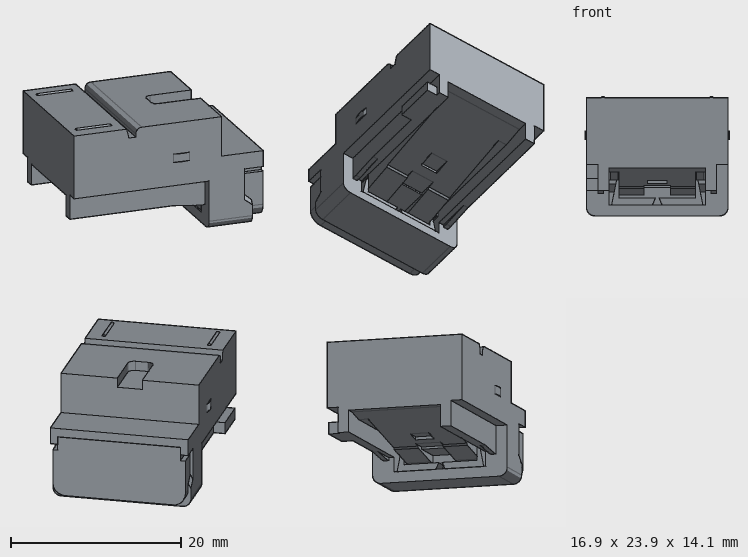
import cadquery as cq
import math


body_width = 16.65
half_width = body_width / 2
top_z = 13.89
shelf_z = 8.96
skirt_z = 6.05
shelf_bottom_z = 6.98
foot_front_y = 17.0
foot_back_y = 22.45
step_y = 18.55
shelf_back_y = 23.8
foot_radius = 1.03

groove_z = 12.75
groove_top_front_y = 6.6
groove_floor_front_y = 6.9
groove_back_y = 7.77
groove_lip_radius = 0.75

slot_half_width = 1.5
slot_front_y = 12.6
slot_corner_radius = 0.76

leg_outer_x = 6.95
leg_inner_x = 5.66
leg_bottom_z = 3.0
toe_bottom_z = 2.65
toe_inner_x = 6.3
toe_flat_y = 16.37
toe_slope_end_y = 13.0

key_front_y = 0.53
key_back_y = 5.55
key_top_z = 4.4

ridge_x = 6.38
ridge_width = 0.4
ridge_height = 0.17
ridge_front_y = 0.95
ridge_back_y = 5.43
ridge_end_run = 0.12

bump_front_y = 12.48
bump_back_y = 14.5
bump_bottom_z = 8.96
bump_top_z = 10.0
bump_height = 0.15

plug_half_width = 8.0
plug_bottom_z = 0.67
plug_top_z = 6.29
plug_radius = 1.48
plug_back_y = 23.9
recess_front_y = 21.46
recess_outer_z = (3.13, 2.37)
recess_inner_z = (3.75, 2.92)
slit_inner_x = 7.4
back_plate_top_z = 7.93

channel_top_z = 5.62
channel_bottom_z = 1.3
slope_start_y = 1.2
ceiling_tilt = 80.0
center_half_width = 4.52
center_floor_z = 2.1
ledge_top_z = 3.47
ledge_bottom_z = 3.25
ledge_tilt = 45.0
ceiling_end_z = 2.44
center_back_y = 19.12

catch_half_width = 1.53
catch_top_z = 3.6
catch_step_z = 3.35
catch_step_y = 14.82
window_half_width = 1.12
window_top_z = 4.18
window_bottom_z = 3.82

clip_front_y = 17.2
clip_top_z = 4.2
clip_top_x = 4.78
clip_bottom_x = 5.35
clip_gap_top_half = 0.22
clip_gap_bottom_half = 0.57
side_top_z = 5.16
side_pocket_inner_x = 4.61
side_pocket_outer_x = 5.47
side_pocket_tilt = 60.3
side_step_z = 3.78
side_flat_top_z = 2.85


def box(x0, x1, y0, y1, z0, z1):
    return cq.Workplane("XY").box(x1 - x0, y1 - y0, z1 - z0, centered=False).translate((x0, y0, z0))


def side_prism(points, x0, x1):
    """Extrude a (y, z) outline from x0 to x1."""
    return cq.Workplane("YZ", origin=(x0, 0, 0)).polyline(points).close().extrude(x1 - x0)


def front_prism(points, y0, y1):
    """Extrude an (x, z) outline from y0 to y1."""
    return cq.Workplane("XZ", origin=(0, y0, 0)).polyline(points).close().extrude(y0 - y1)


def both_sides(shape):
    return shape.union(shape.mirror("YZ"))


def slope_run(tilt, z_high, z_low):
    """Depth gained by a wall tilted from vertical between two heights."""
    return (z_high - z_low) * math.tan(math.radians(tilt))


def make_body():
    lip_mid = groove_lip_radius * math.sqrt(0.5)
    profile = (
        cq.Workplane("YZ", origin=(-half_width, 0, 0))
        .moveTo(0, skirt_z)
        .lineTo(0, top_z)
        .lineTo(groove_top_front_y, top_z)
        .lineTo(groove_floor_front_y, groove_z)
        .lineTo(groove_back_y, groove_z)
        .lineTo(groove_back_y, top_z - groove_lip_radius)
        .threePointArc(
            (groove_back_y + groove_lip_radius - lip_mid, top_z - groove_lip_radius + lip_mid),
            (groove_back_y + groove_lip_radius, top_z),
        )
        .lineTo(step_y, top_z)
        .lineTo(step_y, shelf_z)
        .lineTo(shelf_back_y, shelf_z)
        .lineTo(shelf_back_y, shelf_bottom_z)
        .lineTo(foot_back_y, shelf_bottom_z)
        .lineTo(foot_back_y, 0)
        .lineTo(foot_front_y, 0)
        .lineTo(foot_front_y, skirt_z)
        .close()
    )
    body = profile.extrude(2 * half_width)
    return body.edges("|Y").edges("<Z").fillet(foot_radius)


def make_thumb_slot():
    slot = box(-slot_half_width, slot_half_width, slot_front_y, step_y, groove_z, top_z)
    return slot.edges("|Z and <Y").fillet(slot_corner_radius)


def make_legs():
    leg = box(-leg_outer_x, -leg_inner_x, 0, foot_front_y, leg_bottom_z, skirt_z)
    toe = side_prism(
        [
            (toe_slope_end_y, leg_bottom_z),
            (toe_flat_y, toe_bottom_z),
            (foot_front_y, toe_bottom_z),
            (foot_front_y, leg_bottom_z),
        ],
        -leg_outer_x,
        -toe_inner_x,
    )
    return both_sides(leg.union(toe))


def make_key_block():
    return box(-half_width, -leg_outer_x, key_front_y, key_back_y, leg_bottom_z, key_top_z)


def make_ridges():
    crown_z = top_z + ridge_height
    rounded = (
        cq.Workplane("XZ", origin=(-ridge_x, ridge_front_y, top_z))
        .moveTo(-ridge_width / 2, 0)
        .threePointArc((0, ridge_height), (ridge_width / 2, 0))
        .close()
        .extrude(ridge_front_y - ridge_back_y)
    )
    sloped_ends = side_prism(
        [
            (ridge_front_y, top_z),
            (ridge_front_y + ridge_end_run, crown_z),
            (ridge_back_y - ridge_end_run, crown_z),
            (ridge_back_y, top_z),
        ],
        -ridge_x - ridge_width,
        -ridge_x + ridge_width,
    )
    return both_sides(rounded.intersect(sloped_ends))


def make_side_bumps():
    bump = (
        cq.Workplane("XY", origin=(-half_width, 0, bump_bottom_z))
        .moveTo(0, bump_front_y)
        .threePointArc((-bump_height, (bump_front_y + bump_back_y) / 2), (0, bump_back_y))
        .close()
        .extrude(bump_top_z - bump_bottom_z)
    )
    return both_sides(bump)


def make_rear_recesses():
    """Side recesses with a bevelled lower edge, plus the slit under the shelf."""

    def outline(lower_edge):
        front_z, rear_z = lower_edge
        return [
            (recess_front_y, shelf_bottom_z),
            (recess_front_y, front_z),
            (foot_back_y, rear_z),
            (foot_back_y, shelf_bottom_z),
        ]

    recess = (
        cq.Workplane("YZ", origin=(-half_width, 0, 0))
        .polyline(outline(recess_outer_z))
        .close()
        .workplane(offset=half_width - plug_half_width)
        .polyline(outline(recess_inner_z))
        .close()
        .loft(ruled=True)
    )
    slit = box(-half_width, -slit_inner_x, recess_front_y, foot_back_y, plug_top_z, shelf_bottom_z)
    return both_sides(recess.union(slit))


def make_plug():
    plug = box(-plug_half_width, plug_half_width, foot_back_y, plug_back_y, plug_bottom_z, plug_top_z)
    plug = plug.edges("|Y and <Z").fillet(plug_radius)
    neck = box(-slit_inner_x, slit_inner_x, foot_back_y, plug_back_y, plug_top_z, back_plate_top_z)
    return plug.union(neck)


def make_channel_fill():
    """Solid between the legs, from which the channel is removed."""
    return box(-leg_inner_x, leg_inner_x, 0, foot_front_y, toe_bottom_z, skirt_z)


def ceiling_y(z):
    """Depth at which the first ceiling slope reaches a height."""
    return slope_start_y + slope_run(ceiling_tilt, channel_top_z, z)


def make_channel():
    ledge_y = ceiling_y(ledge_top_z)
    lower_slope_y = ledge_y + slope_run(ledge_tilt, ledge_top_z, ledge_bottom_z)
    ceiling_end_y = lower_slope_y + slope_run(ceiling_tilt, ledge_bottom_z, ceiling_end_z)
    center = side_prism(
        [
            (0, center_floor_z),
            (0, channel_top_z),
            (slope_start_y, channel_top_z),
            (ledge_y, ledge_top_z),
            (lower_slope_y, ledge_bottom_z),
            (ceiling_end_y, ceiling_end_z),
            (center_back_y, ceiling_end_z),
            (center_back_y, center_floor_z),
        ],
        -center_half_width,
        center_half_width,
    )
    side_groove = side_prism(
        [
            (0, center_floor_z),
            (0, channel_top_z),
            (slope_start_y, channel_top_z),
            (ceiling_y(side_top_z), side_top_z),
            (clip_front_y, side_top_z),
            (clip_front_y, center_floor_z),
        ],
        -leg_inner_x,
        -center_half_width,
    )
    mouth = box(-leg_inner_x, leg_inner_x, foot_front_y, clip_front_y, channel_bottom_z, center_floor_z)
    return center.union(both_sides(side_groove)).union(mouth)


def make_catches():
    """Stepped slot and small window let into the channel ceiling."""
    slot_start_y = ceiling_y(catch_top_z)
    upper = box(
        -catch_half_width, catch_half_width, slot_start_y, catch_step_y, center_floor_z, catch_top_z
    )
    lower = box(
        -catch_half_width, catch_half_width, slot_start_y, center_back_y, center_floor_z, catch_step_z
    )
    window = box(
        -window_half_width,
        window_half_width,
        ceiling_y(window_top_z),
        ceiling_y(window_bottom_z),
        window_bottom_z,
        window_top_z,
    )
    return upper.union(lower).union(window)


def make_clip_gap():
    return front_prism(
        [
            (-clip_gap_bottom_half, channel_bottom_z),
            (-clip_gap_top_half, center_floor_z),
            (clip_gap_top_half, center_floor_z),
            (clip_gap_bottom_half, channel_bottom_z),
        ],
        clip_front_y,
        center_back_y,
    )


def make_clip_pockets():
    """Pockets above and outside each clip, with sloped back walls."""
    step_y = clip_front_y + slope_run(side_pocket_tilt, side_top_z, clip_top_z)
    back_y = step_y + slope_run(ledge_tilt, side_step_z, side_flat_top_z)
    above_clip = side_prism(
        [(clip_front_y, side_top_z), (step_y, clip_top_z), (clip_front_y, clip_top_z)],
        -side_pocket_outer_x,
        -side_pocket_inner_x,
    )
    depth_profile = side_prism(
        [
            (clip_front_y, clip_top_z),
            (step_y, clip_top_z),
            (step_y, side_step_z),
            (back_y, side_flat_top_z),
            (back_y, channel_bottom_z),
            (clip_front_y, channel_bottom_z),
        ],
        -leg_inner_x,
        -clip_top_x,
    )
    beside_clip = front_prism(
        [
            (-leg_inner_x, channel_bottom_z),
            (-leg_inner_x, clip_top_z),
            (-clip_top_x, clip_top_z),
            (-clip_bottom_x, channel_bottom_z),
        ],
        clip_front_y,
        back_y,
    )
    return both_sides(above_clip.union(depth_profile.intersect(beside_clip)))


result = (
    make_body()
    .cut(make_thumb_slot())
    .union(make_legs())
    .union(make_channel_fill())
    .union(make_key_block())
    .union(make_ridges())
    .union(make_side_bumps())
    .cut(make_rear_recesses())
    .union(make_plug())
    .cut(make_channel())
    .cut(make_catches())
    .cut(make_clip_gap())
    .cut(make_clip_pockets())
)